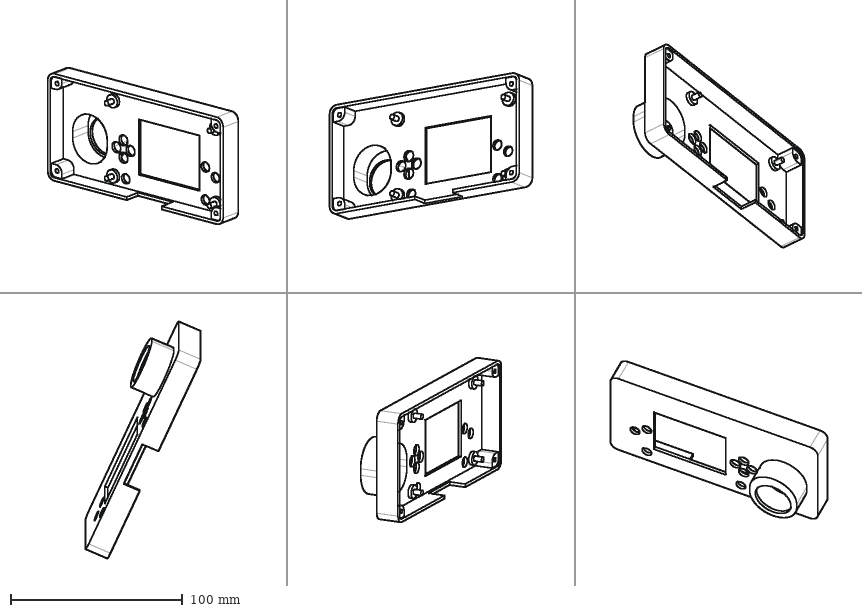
import cadquery as cq

LENGTH = 133.0
HEIGHT = 66.0
TRAY_DEPTH = 14.0
WALL = 2.0
FLOOR = 2.0
CORNER_RADIUS = 5.0
FLOOR_INNER_Y = TRAY_DEPTH - FLOOR

CUP_X = -44.4
CUP_Z = -6.6
CUP_HEIGHT = 14.1
CUP_WALL = 2.0
CUP_STRAIGHT = 4.0
CUP_WIDTH = 30.0
CUP_END_WALL = 2.0
CUP_HOLE_DIAMETER = 22.9
CUP_HOLE_Z = CUP_Z - CUP_STRAIGHT / 2

WINDOW_WIDTH = 46.2
WINDOW_HEIGHT = 34.0
WINDOW_X = 15.5
WINDOW_Z = -3.6

PAD_X = -19.0
PAD_Z = -7.3
PAD_OFFSET = 5.3
PAD_HOLE_DIAMETER = 6.5
BUTTON_DIAMETER = 6.0
BUTTON_CENTERS = [(43.1, -4.9), (50.7, -9.8), (-17.3, -25.3), (43.1, -25.3)]

STANDOFF_XS = (-26.0, 52.0)
STANDOFF_ZS = (21.1, -25.1)
STANDOFF_DIAMETER = 8.0
STANDOFF_HEIGHT = 2.0
PIN_DIAMETER = 3.0
PIN_HEIGHT = 5.0

POST_X = 60.2
POST_Z = 26.9
POST_MARGIN = 3.7
POST_FILLET = 4.8
POST_RECESS = 1.0
POST_HOLE_DIAMETER = 2.5
POST_HOLE_DEPTH = 10.0

NOTCH_WIDTH = 26.5
NOTCH_X = 6.6
NOTCH_DEPTH = 10.2


def plane_at(y):
    """Sketch plane at depth y, with local axes X and Z and its normal toward -Y."""
    return cq.Workplane("XZ", origin=(0, y, 0))


def rounded_block(length, height, radius, y_front, y_back):
    block = plane_at(y_back).rect(length, height).extrude(y_back - y_front)
    return block.edges("|Y").fillet(radius)


def disc(x, z, diameter, y_front, y_back):
    return plane_at(y_back).center(x, z).circle(diameter / 2).extrude(y_back - y_front)


def cup_oblong(width, y_front, y_back):
    outline = plane_at(y_back).center(CUP_X, CUP_Z).slot2D(width + CUP_STRAIGHT, width, 90)
    return outline.extrude(y_back - y_front)


def post(side_x, side_z, cavity):
    """Corner post: a block in the corner, rounded on its inner edge and trimmed to the cavity."""
    width = LENGTH / 2 - POST_X + POST_MARGIN
    height = HEIGHT / 2 - POST_Z + POST_MARGIN
    center_x = side_x * (LENGTH - width) / 2
    center_z = side_z * (HEIGHT - height) / 2
    inner_face_x = ">X" if side_x < 0 else "<X"
    inner_face_z = ">Z" if side_z < 0 else "<Z"
    block = plane_at(FLOOR_INNER_Y).center(center_x, center_z).rect(width, height)
    block = block.extrude(FLOOR_INNER_Y - POST_RECESS)
    block = block.faces(inner_face_x).edges(inner_face_z).fillet(POST_FILLET)
    hole = disc(side_x * POST_X, side_z * POST_Z, POST_HOLE_DIAMETER,
                POST_RECESS, POST_RECESS + POST_HOLE_DEPTH)
    return block.intersect(cavity).cut(hole)


cavity = rounded_block(LENGTH - 2 * WALL, HEIGHT - 2 * WALL, CORNER_RADIUS - WALL, 0, FLOOR_INNER_Y)
cup_end_y = TRAY_DEPTH + CUP_HEIGHT
result = rounded_block(LENGTH, HEIGHT, CORNER_RADIUS, 0, TRAY_DEPTH).cut(cavity)
result = result.union(cup_oblong(CUP_WIDTH, FLOOR_INNER_Y, cup_end_y))
result = result.cut(cup_oblong(CUP_WIDTH - 2 * CUP_WALL, FLOOR_INNER_Y, cup_end_y - CUP_END_WALL))
result = result.cut(disc(CUP_X, CUP_HOLE_Z, CUP_HOLE_DIAMETER, FLOOR_INNER_Y, cup_end_y))

window = plane_at(TRAY_DEPTH).center(WINDOW_X, WINDOW_Z).rect(WINDOW_WIDTH, WINDOW_HEIGHT).extrude(FLOOR)
result = result.cut(window)
for step_x, step_z in [(1, 0), (-1, 0), (0, 1), (0, -1)]:
    hole_x = PAD_X + step_x * PAD_OFFSET
    hole_z = PAD_Z + step_z * PAD_OFFSET
    result = result.cut(disc(hole_x, hole_z, PAD_HOLE_DIAMETER, FLOOR_INNER_Y, TRAY_DEPTH))
for hole_x, hole_z in BUTTON_CENTERS:
    result = result.cut(disc(hole_x, hole_z, BUTTON_DIAMETER, FLOOR_INNER_Y, TRAY_DEPTH))

standoff_y = FLOOR_INNER_Y - STANDOFF_HEIGHT
for x in STANDOFF_XS:
    for z in STANDOFF_ZS:
        result = result.union(disc(x, z, STANDOFF_DIAMETER, standoff_y, FLOOR_INNER_Y))
        result = result.union(disc(x, z, PIN_DIAMETER, standoff_y - PIN_HEIGHT, standoff_y))

for side_x in (-1, 1):
    for side_z in (-1, 1):
        result = result.union(post(side_x, side_z, cavity))

notch = cq.Workplane("XY").box(NOTCH_WIDTH, NOTCH_DEPTH, WALL, centered=(True, False, False))
result = result.cut(notch.translate((NOTCH_X, 0, -HEIGHT / 2)))